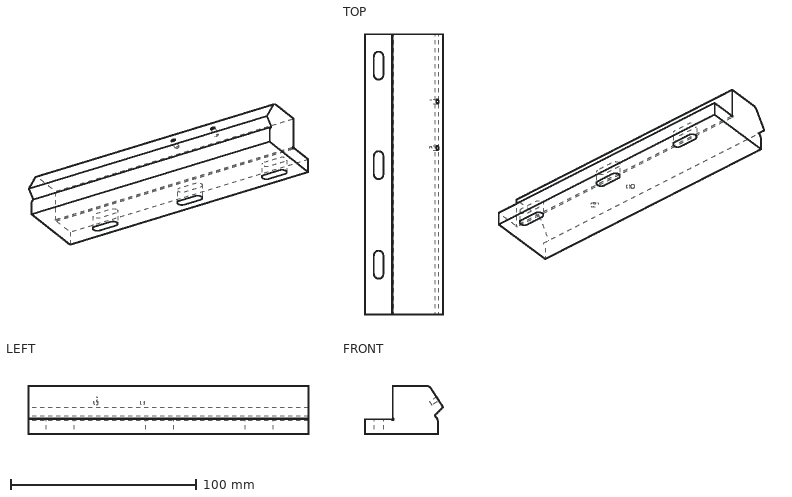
import cadquery as cq
import math

length = 151.4
height = 26.0
width = 42.2

flange_height = 8.0
flange_width = 15.0
base_width = 39.5
tip_height = 14.5
notch_x = 37.7
notch_z = 10.0
base_side_height = 7.7
top_corner_x = 34.8
top_corner_radius = 3.2
side_corner_radius = 3.0
relief_radius = 0.5

slot_width = 5.0
slot_length = 15.0
slot_x = 7.4
slot_pitch = 53.7
middle_slot_y = 80.7

pin_diameter = 2.3
pin_depth = 4.5
pin_x = 39.2
pin_positions_y = (89.9, 115.0)


def round_corner(body, x, z, radius):
    """Fillet the lengthwise edge at the given section point."""
    edge = cq.selectors.NearestToPointSelector((x, length / 2, z))
    return body.edges(edge).fillet(radius)


def rail_body():
    """Extrude the stepped section along Y and round its two right-hand corners."""
    outline = [
        (0, 0),
        (base_width, 0),
        (base_width, base_side_height),
        (notch_x, notch_z),
        (width, tip_height),
        (top_corner_x, height),
        (flange_width, height),
        (flange_width, flange_height),
        (0, flange_height),
    ]
    body = cq.Workplane("XZ").polyline(outline).close().extrude(-length)
    body = round_corner(body, top_corner_x, height, top_corner_radius)
    return round_corner(body, base_width, base_side_height, side_corner_radius)


def corner_relief():
    """Round groove along the inside corner of the step."""
    return (
        cq.Workplane("XZ")
        .center(flange_width, flange_height)
        .circle(relief_radius)
        .extrude(-length)
    )


def mounting_slots():
    """Three slots lying along Y."""
    centers = [(slot_x, middle_slot_y + i * slot_pitch) for i in (-1, 0, 1)]
    return (
        cq.Workplane("XY")
        .pushPoints(centers)
        .slot2D(slot_length, slot_width, 90)
        .extrude(flange_height)
    )


def pin_hole(y):
    """Blind hole drilled inward along the normal of the sloped face."""
    run = width - top_corner_x
    rise = height - tip_height
    slope_length = math.hypot(run, rise)
    pin_z = tip_height + (width - pin_x) * rise / run
    inward = cq.Vector(-rise / slope_length, 0, -run / slope_length)
    return cq.Solid.makeCylinder(pin_diameter / 2, pin_depth, cq.Vector(pin_x, y, pin_z), inward)


result = rail_body().cut(corner_relief()).cut(mounting_slots())
for hole_y in pin_positions_y:
    result = result.cut(cq.Workplane(obj=pin_hole(hole_y)))